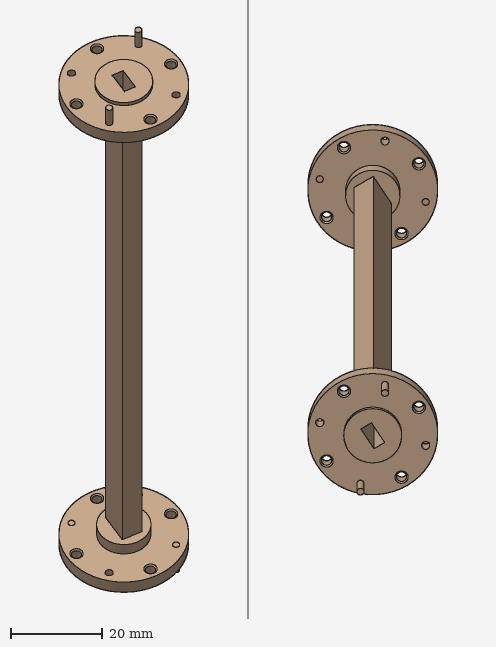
import cadquery as cq
import math

total_length = 161.0
tube_width = 7.5
tube_depth = 5.0
bore_width = 5.5
bore_depth = 2.7

pin_projection = 5.0
pin_recess = 0.08
boss_diameter = 12.7
boss_height = 1.0
flange_diameter = 28.5
flange_thickness = 3.4
collar_diameter = 11.9
collar_height = 3.0

bolt_circle_radius = 11.9
screw_hole_diameter = 2.3
screw_mouth_diameter = 2.9
dowel_hole_diameter = 1.8
pin_diameter = 1.56
screw_angles = (0, 90, 180, 270)
dowel_angles = (45, 225)
pin_angles = (135, 315)

flange_outer_z = total_length / 2 - pin_projection
flange_inner_z = flange_outer_z - flange_thickness
screw_chamfer = (screw_mouth_diameter - screw_hole_diameter) / 2
pin_inner_z = flange_inner_z + pin_recess
collar_inner_z = flange_inner_z - collar_height
boss_outer_z = flange_outer_z + boss_height


def cylinder(diameter, z_low, z_high, x=0.0, y=0.0):
    base = cq.Workplane("XY", origin=(x, y, z_low))
    return base.circle(diameter / 2).extrude(z_high - z_low)


def on_bolt_circle(diameter, z_low, z_high, angles):
    """Parallel cylinders placed on the bolt circle at the given angles in degrees."""
    cylinders = cq.Workplane("XY")
    for angle in angles:
        x = bolt_circle_radius * math.cos(math.radians(angle))
        y = bolt_circle_radius * math.sin(math.radians(angle))
        cylinders = cylinders.add(cylinder(diameter, z_low, z_high, x, y))
    return cylinders.combine()


def make_screw_holes():
    """Cutters for the screw holes, each flaring to a wider mouth at both flange faces."""
    mouth_radius = screw_mouth_diameter / 2
    hole_radius = screw_hole_diameter / 2
    half_profile = (
        cq.Workplane("XZ")
        .moveTo(0, flange_inner_z)
        .lineTo(mouth_radius, flange_inner_z)
        .lineTo(hole_radius, flange_inner_z + screw_chamfer)
        .lineTo(hole_radius, flange_outer_z - screw_chamfer)
        .lineTo(mouth_radius, flange_outer_z)
        .lineTo(0, flange_outer_z)
        .close()
    )
    cutter = half_profile.revolve(360, (0, 0, 0), (0, 1, 0)).translate((bolt_circle_radius, 0, 0))
    cutters = cq.Workplane("XY")
    for angle in screw_angles:
        cutters = cutters.add(cutter.rotate((0, 0, 0), (0, 0, 1), angle))
    return cutters.combine()


def make_upper_flange():
    """Flange at the +Z end, with its mating boss, collar, holes and dowel pins."""
    flange = cylinder(flange_diameter, flange_inner_z, flange_outer_z)
    flange = flange.union(cylinder(boss_diameter, flange_outer_z, boss_outer_z))
    flange = flange.union(cylinder(collar_diameter, collar_inner_z, flange_inner_z))
    screw_holes = make_screw_holes()
    dowel_holes = on_bolt_circle(dowel_hole_diameter, flange_inner_z, flange_outer_z, dowel_angles)
    pin_seats = on_bolt_circle(pin_diameter, flange_inner_z, pin_inner_z, pin_angles)
    pins = on_bolt_circle(pin_diameter, pin_inner_z, total_length / 2, pin_angles)
    flange = flange.cut(screw_holes).cut(dowel_holes).cut(pin_seats)
    return flange.union(pins)


upper_flange = make_upper_flange()
lower_flange = upper_flange.rotate((0, 0, 0), (1, 0, 0), 180)

tube = cq.Workplane("XY").box(tube_width, tube_depth, 2 * flange_inner_z)
bore = cq.Workplane("XY").box(bore_width, bore_depth, total_length)

result = tube.union(upper_flange).union(lower_flange).cut(bore)